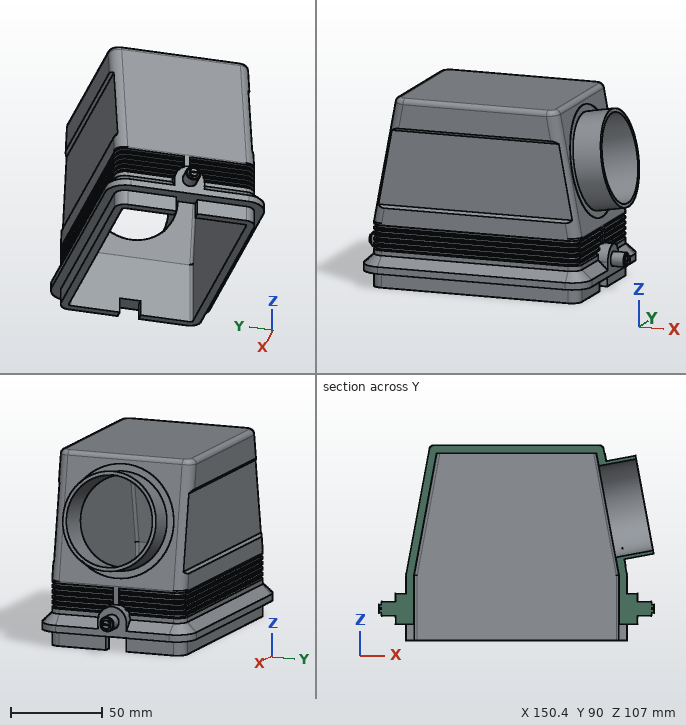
import cadquery as cq
import math

total_height = 107.0
body_length = 121.0
body_width = 79.5
corner_radius = 6.0
lean_start_z = 36.3
lean_angle = 10.5
top_fillet = 3.0
wall = 4.5

flange_length = 132.5
flange_width = 90.0
flange_radius = 11.5
flange_bottom_z = 8.9
flange_edge_z = 12.8
flange_top_z = 18.0

groove_count = 5
groove_depth = 1.4
groove_mouth = 2.3
groove_floor = 1.2
groove_pitch = 3.0
first_groove_z = 22.0

panel_bottom_z = 44.8
panel_top_z = 90.3
panel_depth = 1.5
panel_bevel = 1.7

lug_radius = 8.5
lug_z = 17.5
pin_radius = 4.0
pin_end_x = 74.0
pin_chamfer = 0.5
head_radius = 2.4
head_end_x = 75.2
head_slot = 0.6
bar_width = 3.3

notch_width = 11.9

outlet_diameter = 55.0
outlet_wall = 2.1
outlet_end_x = 70.1
outlet_end_z = 74.3
seat_diameter = 62.9
seat_height = 0.2

half_length = body_length / 2
half_width = body_width / 2
bar_top_z = first_groove_z + (groove_count - 1) * groove_pitch + groove_mouth / 2
lean_slope = math.tan(math.radians(lean_angle))
lean_sine = math.sin(math.radians(lean_angle))
lean_cosine = math.cos(math.radians(lean_angle))


def end_wall_x(z):
    """Half length of the hood at a height in its leaning part."""
    return half_length - (z - lean_start_z) * lean_slope


def rounded_rectangle(z, length, width, radius):
    sketch = cq.Sketch().rect(length, width).vertices().fillet(radius)
    return cq.Workplane("XY", origin=(0, 0, z)).placeSketch(sketch)


def hood_blocks(inset):
    """Straight and leaning parts of the hood, shrunk by the inset, top edges still sharp."""
    top_z = total_height - inset
    bend_z = lean_start_z - inset * math.tan(math.radians(lean_angle / 2))
    lower_x = half_length - inset
    upper_x = lower_x - (top_z - bend_z) * lean_slope
    width = body_width - 2 * inset
    lower = rounded_rectangle(0, 2 * lower_x, width, corner_radius - inset)
    lower = lower.extrude(bend_z)
    upper = (
        cq.Workplane("XZ")
        .polyline([(-lower_x, bend_z), (lower_x, bend_z), (upper_x, top_z), (-upper_x, top_z)])
        .close()
        .extrude(width / 2, both=True)
    )
    upper = upper.edges("not(|X or |Y)").fillet(corner_radius - inset)
    return lower, upper


def make_hood():
    lower, upper = hood_blocks(0)
    return lower.union(upper.faces(">Z").edges().fillet(top_fillet))


def make_cavity():
    lower, upper = hood_blocks(wall)
    return lower.union(upper)


def make_flange():
    rim = rounded_rectangle(flange_bottom_z, flange_length, flange_width, flange_radius)
    rim = rim.extrude(flange_edge_z - flange_bottom_z)
    outer = cq.Sketch().rect(flange_length, flange_width).vertices().fillet(flange_radius)
    inner = cq.Sketch().rect(body_length, body_width).vertices().fillet(corner_radius)
    rise = cq.Location(cq.Vector(0, 0, flange_top_z - flange_edge_z))
    slope = cq.Workplane("XY", origin=(0, 0, flange_edge_z)).placeSketch(outer, inner.moved(rise)).loft()
    return rim.union(slope)


def make_groove(z):
    """Tapered bar running once around the body; cut away it leaves a flat-floored groove."""
    path = rounded_rectangle(z, body_length, body_width, corner_radius).extrude(1.5).faces("<Z").wires()
    profile = [
        (0, -groove_mouth / 2),
        (0, groove_mouth / 2),
        (groove_depth, groove_floor / 2),
        (groove_depth, -groove_floor / 2),
    ]
    start = cq.Workplane("YZ", origin=(0, -half_width, z))
    return start.polyline(profile).close().sweep(path)


def make_panel(side):
    """Bevelled cutter for the shallow panel across one long side."""
    outer_y = side * half_width
    inner_y = side * (half_width - panel_depth)
    points = [
        (outer_y, panel_bottom_z),
        (inner_y, panel_bottom_z + panel_bevel),
        (inner_y, panel_top_z - panel_bevel),
        (outer_y, panel_top_z),
    ]
    return cq.Workplane("YZ").polyline(points).close().extrude(half_length, both=True)


def make_lug(end):
    """Lug with its grip bar and slotted pin; end is -1 or 1 along X."""
    start_x = half_length - corner_radius / 2
    lug_end_x = flange_length / 2

    def disc(radius, from_x, to_x):
        plane = cq.Plane(origin=(end * from_x, 0, lug_z), xDir=(0, 1, 0), normal=(end, 0, 0))
        return cq.Workplane(plane).circle(radius).extrude(to_x - from_x)

    def block(from_x, to_x, width, bottom_z, top_z):
        middle = (end * (from_x + to_x) / 2, 0, (bottom_z + top_z) / 2)
        return cq.Workplane("XY", origin=middle).box(to_x - from_x, width, top_z - bottom_z)

    lug = disc(lug_radius, start_x, lug_end_x)
    lug = lug.union(block(start_x, lug_end_x, 2 * lug_radius, flange_bottom_z, lug_z))
    bar = block(start_x, half_length, bar_width, lug_z, bar_top_z)
    pin = disc(pin_radius, lug_end_x, pin_end_x)
    pin = pin.faces(">X" if end > 0 else "<X").chamfer(pin_chamfer)
    head = disc(head_radius, pin_end_x, head_end_x)
    slot = block(pin_end_x, head_end_x, 2 * head_radius, lug_z - head_slot / 2, lug_z + head_slot / 2)
    return lug.union(bar).union(pin).union(head.cut(slot))


outlet_mouth = cq.Plane(
    origin=(outlet_end_x, 0, outlet_end_z), xDir=(0, 1, 0), normal=(lean_cosine, 0, lean_sine)
)
outlet_length = (outlet_end_x - end_wall_x(outlet_end_z)) * lean_cosine


def outlet_cylinder(diameter, from_depth, to_depth):
    """Cylinder on the outlet axis between two depths behind the mouth."""
    start = cq.Workplane(outlet_mouth).workplane(offset=-to_depth)
    return start.circle(diameter / 2).extrude(to_depth - from_depth)


hood = make_hood().union(make_flange())
for number in range(groove_count):
    hood = hood.cut(make_groove(first_groove_z + number * groove_pitch))
for direction in (-1, 1):
    hood = hood.cut(make_panel(direction))
    hood = hood.union(make_lug(direction))

root_depth = outlet_length + wall / 2
hood = hood.union(outlet_cylinder(seat_diameter, outlet_length - seat_height, root_depth))
hood = hood.union(outlet_cylinder(outlet_diameter, 0, root_depth))

bore = outlet_cylinder(outlet_diameter - 2 * outlet_wall, 0, outlet_length + 2 * wall)
notch = cq.Workplane("XY").rect(flange_length, notch_width).extrude(flange_bottom_z)
result = hood.cut(make_cavity()).cut(bore).cut(notch)